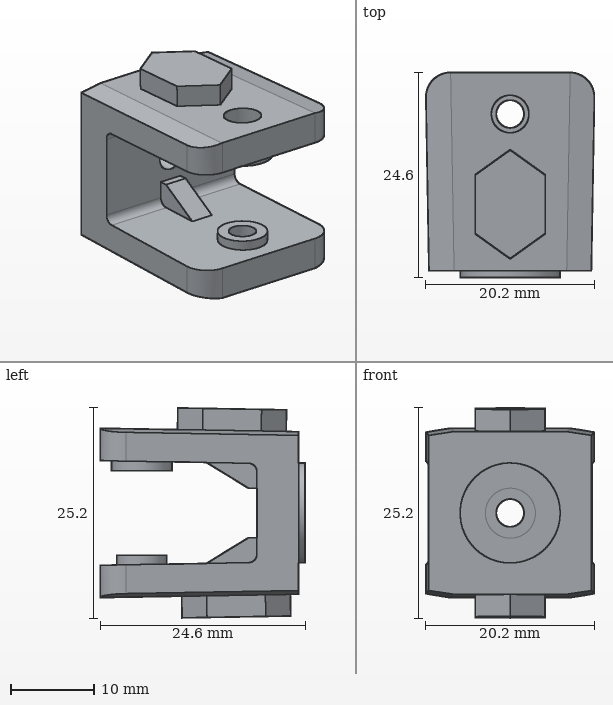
import cadquery as cq
import math

DRAFT_ANGLE = math.radians(1)
BODY_LENGTH = 23.8
FRONT_HALF_SIZE = 9.75
FLAT_HALF_WIDTH = 6.75
SIDE_HALF_HEIGHT = 9.3
CORNER_RADIUS = 3.0

WALL_THICKNESS = 5.0
ARM_THICKNESS = 3.9
SLOT_FILLET = 1.0

RIB_WIDTH = 3.0
RIB_START_Y = 11.05
RIB_CREST_Y = 6.0
RIB_CREST_Z = 2.95

PIVOT_Y = BODY_LENGTH - 5.0
PIVOT_GAP_HALF = 5.05
UPPER_BOSS_DIAMETER = 7.3
UPPER_HOLE_DIAMETER = 4.5
LOWER_BOSS_DIAMETER = 6.0
LOWER_HOLE_DIAMETER = 3.3

PAD_HALF_WIDTH = 4.2
PAD_HALF_LENGTH = 6.53
PAD_SIDE_HALF_LENGTH = 3.52
PAD_HEIGHT = 2.6
UPPER_PAD_Y = 8.0
LOWER_PAD_Y = 7.5

DISC_DIAMETER = 12.0
DISC_THICKNESS = 0.8
HUB_DIAMETER = 6.0
BORE_DIAMETER = 3.3


def flare(y):
    """Outward shift of the drafted faces at distance y from the front face."""
    return y * math.tan(DRAFT_ANGLE)


def arm_inner_z(y):
    """Distance from mid-height to the inner face of an arm."""
    return FRONT_HALF_SIZE - ARM_THICKNESS + flare(y)


def body_section(y):
    """Eight-sided cross section of the body at distance y from the front face."""
    shift = flare(y)
    half_size = FRONT_HALF_SIZE + shift
    flat = FLAT_HALF_WIDTH + shift
    side = SIDE_HALF_HEIGHT + shift
    points = [
        cq.Vector(flat, y, half_size),
        cq.Vector(half_size, y, side),
        cq.Vector(half_size, y, -side),
        cq.Vector(flat, y, -half_size),
        cq.Vector(-flat, y, -half_size),
        cq.Vector(-half_size, y, -side),
        cq.Vector(-half_size, y, side),
        cq.Vector(-flat, y, half_size),
    ]
    return cq.Wire.makePolygon(points, close=True)


def make_slot():
    wall_z = arm_inner_z(WALL_THICKNESS)
    end_z = arm_inner_z(BODY_LENGTH)
    outline = [
        (WALL_THICKNESS, wall_z),
        (BODY_LENGTH, end_z),
        (BODY_LENGTH, -end_z),
        (WALL_THICKNESS, -wall_z),
    ]
    half_depth = 2 * FRONT_HALF_SIZE
    slot = cq.Workplane("YZ").polyline(outline).close().extrude(half_depth, both=True)
    return slot.edges("|X and <Y").fillet(SLOT_FILLET)


def make_body():
    sections = [body_section(0), body_section(BODY_LENGTH)]
    body = cq.Workplane(obj=cq.Solid.makeLoft(sections, True))
    body = body.cut(make_slot())
    return body.faces(">Y").edges("|Z").fillet(CORNER_RADIUS)


def make_rib(side):
    """Rib in the corner of the slot; side is 1 for the upper arm, -1 for the lower."""
    wall_y = WALL_THICKNESS / 2
    root_z = FRONT_HALF_SIZE - ARM_THICKNESS / 2
    outline = [
        (wall_y, side * RIB_CREST_Z),
        (RIB_CREST_Y, side * RIB_CREST_Z),
        (RIB_START_Y, side * arm_inner_z(RIB_START_Y)),
        (RIB_START_Y, side * root_z),
        (wall_y, side * root_z),
    ]
    return cq.Workplane("YZ").polyline(outline).close().extrude(RIB_WIDTH / 2, both=True)


def make_pad(side, center_y):
    """Hexagonal pad on the top (side 1) or bottom (side -1) of the body."""
    origin = (0, center_y, side * (FRONT_HALF_SIZE + flare(center_y)))
    normal = (0, -math.sin(DRAFT_ANGLE), side * math.cos(DRAFT_ANGLE))
    outline = [
        (0, PAD_HALF_LENGTH),
        (PAD_HALF_WIDTH, PAD_SIDE_HALF_LENGTH),
        (PAD_HALF_WIDTH, -PAD_SIDE_HALF_LENGTH),
        (0, -PAD_HALF_LENGTH),
        (-PAD_HALF_WIDTH, -PAD_SIDE_HALF_LENGTH),
        (-PAD_HALF_WIDTH, PAD_SIDE_HALF_LENGTH),
    ]
    plane = cq.Plane(origin=origin, xDir=(1, 0, 0), normal=normal)
    return cq.Workplane(plane).polyline(outline).close().extrude(PAD_HEIGHT)


def add_pivot(part, side, boss_diameter, hole_diameter):
    """Boss inside one arm, with a hole through the boss and the arm."""
    base = cq.Workplane("XY", origin=(0, PIVOT_Y, side * PIVOT_GAP_HALF))
    boss_height = FRONT_HALF_SIZE - ARM_THICKNESS / 2 - PIVOT_GAP_HALF
    boss = base.circle(boss_diameter / 2).extrude(side * boss_height)
    hole = base.circle(hole_diameter / 2).extrude(side * FRONT_HALF_SIZE)
    return part.union(boss).cut(hole)


def front_cylinder(diameter, end_y):
    """Cylinder along Y from the outer face of the front disc to end_y."""
    base = cq.Workplane("XZ", origin=(0, -DISC_THICKNESS, 0))
    return base.circle(diameter / 2).extrude(-(end_y + DISC_THICKNESS))


def add_front_disc(part):
    """Front disc with a flush hub at its centre, bored through the front wall."""
    part = part.union(front_cylinder(DISC_DIAMETER, 0))
    hub = front_cylinder(HUB_DIAMETER, 0)
    bore = front_cylinder(BORE_DIAMETER, WALL_THICKNESS)
    return part.union(hub, clean=False).cut(bore, clean=False)


result = make_body()
for rib_side in (1, -1):
    result = result.union(make_rib(rib_side))
result = result.union(make_pad(1, UPPER_PAD_Y))
result = result.union(make_pad(-1, LOWER_PAD_Y))
result = add_pivot(result, 1, UPPER_BOSS_DIAMETER, UPPER_HOLE_DIAMETER)
result = add_pivot(result, -1, LOWER_BOSS_DIAMETER, LOWER_HOLE_DIAMETER)
result = add_front_disc(result)